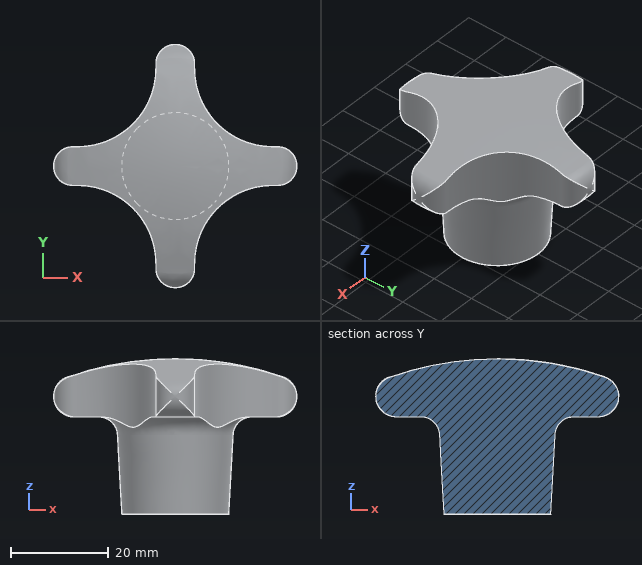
import cadquery as cq
import math

span = 50.0
height = 32.0
underside_z = 20.0
arm_width = 8.0
valley_center = 20.0
rim_radius = 4.25
stem_bottom_radius = 11.0
stem_top_radius = 11.9
flare_radius = 3.75
top_clearance = 2.5

tip_reach = span / 2
arm_half_width = arm_width / 2
tip_center = tip_reach - arm_half_width
valley_radius = valley_center - arm_half_width
valley_middle = valley_center - valley_radius / math.sqrt(2)


def revolved_body():
    """Tapered stem, flare and domed head, turned about the Z axis."""
    rim_r = tip_reach - rim_radius
    rim_z = underside_z + rim_radius
    rim_depth = height - rim_z

    dome_radius = (rim_r**2 + rim_depth**2 - rim_radius**2) / (2 * (rim_depth - rim_radius))
    dome_center_z = height - dome_radius
    rim_angle = math.atan2(rim_r, rim_z - dome_center_z)

    def dome_point(angle):
        return (dome_radius * math.sin(angle), dome_center_z + dome_radius * math.cos(angle))

    rim_diagonal = rim_radius / math.sqrt(2)
    upper_rim_angle = (rim_angle + math.pi / 2) / 2
    upper_rim_middle = (
        rim_r + rim_radius * math.sin(upper_rim_angle),
        rim_z + rim_radius * math.cos(upper_rim_angle),
    )

    flare_z = underside_z - flare_radius
    flare_outer = stem_top_radius + flare_radius
    flare_middle = (
        flare_outer - flare_radius / math.sqrt(2),
        flare_z + flare_radius / math.sqrt(2),
    )
    return (
        cq.Workplane("XZ")
        .lineTo(stem_bottom_radius, 0)
        .lineTo(stem_top_radius, flare_z)
        .threePointArc(flare_middle, (flare_outer, underside_z))
        .lineTo(rim_r, underside_z)
        .threePointArc((rim_r + rim_diagonal, rim_z - rim_diagonal), (tip_reach, rim_z))
        .threePointArc(upper_rim_middle, dome_point(rim_angle))
        .threePointArc(dome_point(rim_angle / 2), (0, height))
        .close()
        .revolve(360, (0, 0, 0), (0, 1, 0))
    )


def quarter_prism():
    """Upright prism with half an arm along +X, half an arm along +Y and the valley between."""
    tip_diagonal = arm_half_width / math.sqrt(2)
    return (
        cq.Workplane("XY")
        .lineTo(tip_reach, 0)
        .threePointArc((tip_center + tip_diagonal, tip_diagonal), (tip_center, arm_half_width))
        .lineTo(valley_center, arm_half_width)
        .threePointArc((valley_middle, valley_middle), (arm_half_width, valley_center))
        .lineTo(arm_half_width, tip_center)
        .threePointArc((tip_diagonal, tip_center + tip_diagonal), (0, tip_reach))
        .close()
        .extrude(height + top_clearance)
    )


def four_arm_prism():
    """Four arms with round ends, joined by concave valleys."""
    quarter = quarter_prism()
    prism = quarter
    for turn in (90, 180, 270):
        prism = prism.union(quarter.rotate((0, 0, 0), (0, 0, 1), turn))
    return prism


result = revolved_body().intersect(four_arm_prism())